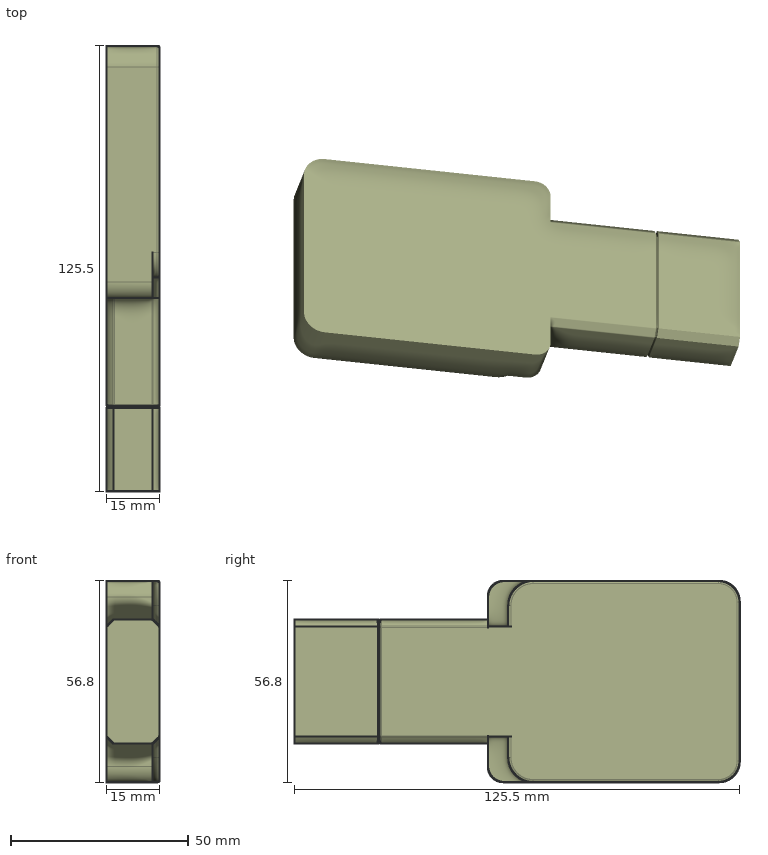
import cadquery as cq


thickness = 15.0
total_length = 125.5
body_width = 56.75

body_length = 71.0
base_thickness = 13.0
far_corner_radius = 6.0
near_corner_radius = 4.5
cover_setback = 5.75
cover_near_corner_radius = 7.0
cover_edge_radius = 0.75

tab_length = 23.5
groove_width = 0.5
groove_depth = 0.75
neck_length = total_length - body_length - tab_length - groove_width
shank_width = 35.0
shank_chamfer = 2.0
neck_edge_radius = 0.5

pad_width = shank_width - 2 * shank_chamfer
pad_root_radius = 0.3

tab_end_y = 0.0
groove_start_y = tab_end_y + tab_length
neck_start_y = groove_start_y + groove_width
body_near_y = neck_start_y + neck_length
body_far_y = body_near_y + body_length
cover_near_y = body_near_y + cover_setback


def box(x_start, x_end, y_start, y_end, width):
    """Box spanning the given X and Y ranges, centred on Z = 0."""
    size_x = x_end - x_start
    size_y = y_end - y_start
    corner = (x_start, y_start, -width / 2)
    return cq.Workplane("XY").box(size_x, size_y, width, centered=False).translate(corner)


def rounded_plate(x_start, x_end, y_start, near_radius):
    """Body-wide plate reaching the far end, with its four corners rounded."""
    plate = box(x_start, x_end, y_start, body_far_y, body_width)
    plate = plate.faces(">Y").edges("|X").fillet(far_corner_radius)
    return plate.faces("<Y").edges("|X").fillet(near_radius)


def shank(y_start, y_end, inset=0.0):
    """Bar with four chamfered long edges, set in from the full section by the inset."""
    bar = box(inset, thickness - inset, y_start, y_end, shank_width - 2 * inset)
    return bar.edges("|Y").chamfer(shank_chamfer)


def make_base():
    return rounded_plate(0, base_thickness, body_near_y, near_corner_radius)


def make_cover():
    """Cover plate with a rounded rim around its outer face."""
    cover = rounded_plate(base_thickness, thickness, cover_near_y, cover_near_corner_radius)
    return cover.faces(">X").edges().fillet(cover_edge_radius)


def make_pad():
    """Flat pad reaching back into the cover, past its rounded rim."""
    pad_far_y = cover_near_y + cover_edge_radius
    return box(base_thickness, thickness, body_near_y, pad_far_y, pad_width)


def make_neck():
    """Neck with softened long edges and a softened end next to the groove."""
    neck = shank(neck_start_y, body_near_y)
    return neck.edges("|Y or <Y").fillet(neck_edge_radius)


def make_groove_core():
    """Core joining neck and tab; it overlaps both, and its face is the groove floor."""
    return shank(tab_end_y + tab_length / 2, neck_start_y + neck_length / 2, groove_depth)


def make_tab():
    return shank(tab_end_y, groove_start_y)


def make_body():
    """Base, cover and pad, with a small fillet where each pad side meets the base."""
    body = make_base().union(make_cover()).union(make_pad())
    setback_middle_y = (body_near_y + cover_near_y) / 2
    for side in (-1, 1):
        pad_root = (base_thickness, setback_middle_y, side * pad_width / 2)
        body = body.edges(cq.selectors.NearestToPointSelector(pad_root)).fillet(pad_root_radius)
    return body


result = make_body().union(make_neck()).union(make_groove_core()).union(make_tab())